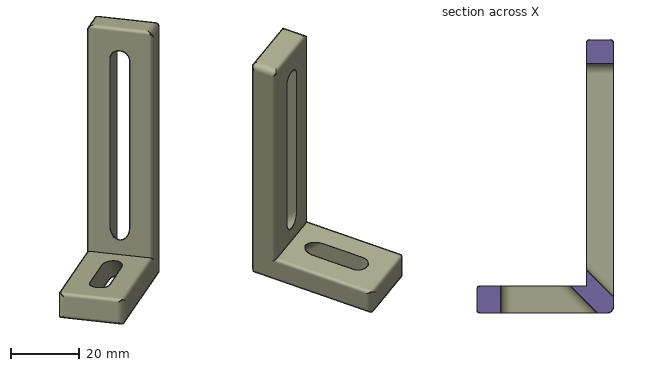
import cadquery as cq
import math

width = 20.0
foot_length = 40.0
height = 80.0
thickness = 8.0

corner_radius = 2.0
rim_radius = corner_radius / 2

slot_width = 6.0
slot_end_inset = 10.0
slot_heel_inset = 13.0
slope = 1.0

upright_front = foot_length - thickness


def make_bracket():
    """L profile with the upright standing at the back of the foot."""
    return (
        cq.Workplane("YZ")
        .polyline([
            (0, 0),
            (foot_length, 0),
            (foot_length, height),
            (upright_front, height),
            (upright_front, thickness),
            (0, thickness),
        ])
        .close()
        .extrude(width / 2, both=True)
    )


def round_corners():
    """Bracket with large rounds on the foot end, the upright end and the heel."""
    body = make_bracket()
    body = body.faces("<Y").edges("|Z").fillet(corner_radius)
    body = body.faces(">Z").edges("|Y").fillet(corner_radius)
    return body.faces("<Z").edges(">Y").fillet(corner_radius)


def round_rims():
    """Bracket with small rounds that meet in mitres around the faces of both legs."""
    body = make_bracket()
    foot_top = body.faces(cq.selectors.NearestToPointSelector((0, upright_front / 2, thickness)))
    upright_face = body.faces(
        cq.selectors.NearestToPointSelector((0, upright_front, (height + thickness) / 2))
    )
    lower_rims = body.faces("<Z").edges("not >Y").add(foot_top.edges("not >Y"))
    upper_rims = body.faces(">Y").edges("not <Z").add(upright_face.edges("not <Z"))
    return lower_rims.add(upper_rims).fillet(rim_radius)


def hole_along(centre, direction):
    """Round cutter through a point along a direction, long enough to pass through a leg."""
    hole_plane = cq.Plane(origin=centre, xDir=(1, 0, 0), normal=direction)
    hole_length = 2 * thickness * math.hypot(1, slope)
    hole_start = cq.Workplane(hole_plane).workplane(offset=-hole_length / 2)
    return hole_start.circle(slot_width / 2).extrude(hole_length)


def slot_middle(corners):
    """Straight-sided part of a slot, outlined by corners seen from the side."""
    return cq.Workplane("YZ").polyline(corners).close().extrude(slot_width / 2, both=True)


def make_foot_slot():
    """Slot through the foot; its sloping end leans back towards the heel going down."""
    mid_z = thickness / 2
    heel_y = foot_length - slot_heel_inset
    lean = slope * mid_z
    middle = slot_middle([
        (slot_end_inset, 0),
        (heel_y + lean, 0),
        (heel_y - lean, thickness),
        (slot_end_inset, thickness),
    ])
    straight_end = hole_along((0, slot_end_inset, mid_z), (0, 0, 1))
    sloping_end = hole_along((0, heel_y, mid_z), (0, -slope, 1))
    return middle.union(straight_end).union(sloping_end)


def make_upright_slot():
    """Slot through the upright; its sloping end leans down towards the heel going back."""
    mid_y = foot_length - thickness / 2
    top_z = height - slot_end_inset
    lean = slope * thickness / 2
    middle = slot_middle([
        (upright_front, top_z),
        (upright_front, slot_heel_inset + lean),
        (foot_length, slot_heel_inset - lean),
        (foot_length, top_z),
    ])
    straight_end = hole_along((0, mid_y, top_z), (0, 1, 0))
    sloping_end = hole_along((0, mid_y, slot_heel_inset), (0, 1, -slope))
    return middle.union(straight_end).union(sloping_end)


rounded_bracket = round_corners().intersect(round_rims())
result = rounded_bracket.cut(make_foot_slot()).cut(make_upright_slot())